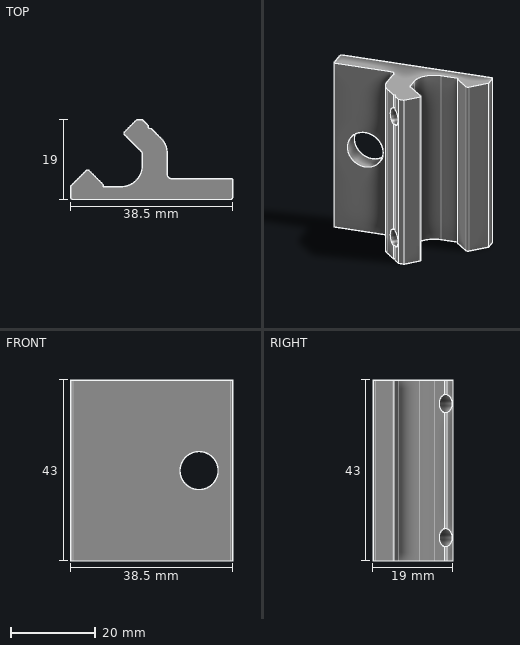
import cadquery as cq
import math

width = 38.5
depth = 19.0
height = 43.0

plate_thickness = 5.0
floor_y = 3.1
wall_inner_x = 17.0
wall_outer_x = 22.95
floor_radius = 5.0
bend_radius = 5.0
root_radius = 1.0
edge_radius = 0.5
plate_top_edge_radius = 0.25

ridge_left_y = 3.22
ridge_right_x = 7.8
ridge_apex = (4.05, ridge_left_y + 4.05)
ridge_right_y = ridge_apex[1] - (ridge_right_x - ridge_apex[0])

arm_inner_y = 11.2
arm_tip = (12.43, arm_inner_y + wall_inner_x - 12.43)
arm_outer_sum = 36.05
arm_outer_y = arm_outer_sum - wall_outer_x
tip_side_x = depth - (arm_tip[1] - arm_tip[0])
outer_top_x = arm_outer_sum - depth

screw_diameter = 4.3
screw_end_distance = 5.6
screw_start = (14.88, arm_inner_y + wall_inner_x - 14.88)
screw_line_offset = screw_start[0] - screw_start[1]
groove_depth = 0.47
groove_radius = 0.25
groove_half_width = groove_depth * math.sqrt(2)
groove_mouth_x = (arm_outer_sum + screw_line_offset) / 2
groove_mouth_y = arm_outer_sum - groove_mouth_x
groove_bottom = (
    groove_mouth_x - groove_half_width / 2,
    groove_mouth_y - groove_half_width / 2,
)

mount_diameter = 9.0
mount_x = 30.5


def round_edges(body, points, radius):
    """Round the vertical edges standing on the given outline corners."""
    reach = 0.005
    for x, y in points:
        corner = cq.selectors.BoxSelector(
            (x - reach, y - reach, height / 2 - reach),
            (x + reach, y + reach, height / 2 + reach),
        )
        body = body.edges("|Z").edges(corner).fillet(radius)
    return body


def make_profile():
    """Extrude the hook outline, then round its corners."""
    outline = [
        (0, 0),
        (width, 0),
        (width, plate_thickness),
        (wall_outer_x, plate_thickness),
        (wall_outer_x, arm_outer_y),
        (arm_outer_sum - groove_bottom[1], groove_bottom[1]),
        groove_bottom,
        (groove_bottom[0], arm_outer_sum - groove_bottom[0]),
        (outer_top_x, depth),
        (tip_side_x, depth),
        arm_tip,
        (wall_inner_x, arm_inner_y),
        (wall_inner_x, floor_y),
        (ridge_right_x, floor_y),
        (ridge_right_x, ridge_right_y),
        ridge_apex,
        (0, ridge_left_y),
    ]
    body = cq.Workplane("XY").polyline(outline).close().extrude(height)
    rounded_corners = [(0, 0), (width, 0), ridge_apex, arm_tip, (wall_inner_x, arm_inner_y)]
    body = round_edges(body, rounded_corners, edge_radius)
    body = round_edges(body, [(width, plate_thickness)], plate_top_edge_radius)
    body = round_edges(body, [(wall_inner_x, floor_y)], floor_radius)
    body = round_edges(body, [(wall_outer_x, arm_outer_y)], bend_radius)
    body = round_edges(body, [(wall_outer_x, plate_thickness)], root_radius)
    return round_edges(body, [groove_bottom], groove_radius)


def make_mount_hole():
    """Cylinder along Y at mid height of the plate."""
    start = cq.Vector(mount_x, 0, height / 2)
    return cq.Solid.makeCylinder(mount_diameter / 2, plate_thickness, start, cq.Vector(0, 1, 0))


def make_screw_hole(z):
    """Cylinder square to the arm, running through it from the inner face."""
    overshoot = 1.3
    arm_thickness = (arm_outer_sum - sum(screw_start)) / math.sqrt(2)
    start = cq.Vector(screw_start[0] - overshoot, screw_start[1] - overshoot, z)
    length = arm_thickness + 2 * overshoot * math.sqrt(2)
    return cq.Solid.makeCylinder(screw_diameter / 2, length, start, cq.Vector(1, 1, 0))


result = make_profile().cut(make_mount_hole())
for screw_z in (screw_end_distance, height - screw_end_distance):
    result = result.cut(make_screw_hole(screw_z))